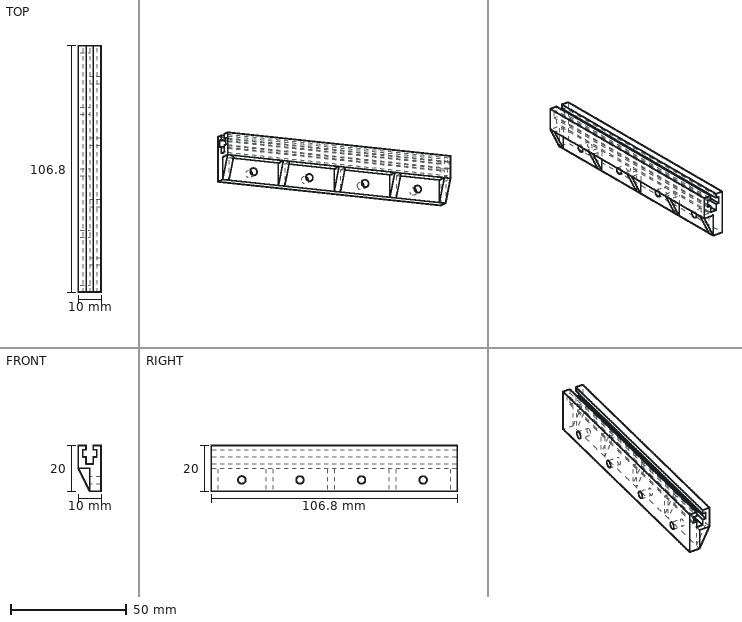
import cadquery as cq

rail_length = 106.75
bar_width = 10.0
bar_height = 10.0
plate_thickness = 5.0
plate_height = 10.0

slot_width = 3.0
slot_depth = 8.0
slot_head_width = 6.0
slot_head_top_depth = 2.0
slot_head_height = 3.0

bay_count = 4
bay_pitch = rail_length / bay_count
rib_thickness = 3.0
screw_hole_diameter = 3.2

bar_left = -bar_width / 2
bar_right = bar_width / 2
plate_left = bar_right - plate_thickness
bar_bottom = plate_height
bar_top = bar_bottom + bar_height

rib_starts = [rail_length - bay * bay_pitch - rib_thickness for bay in range(bay_count)]
rib_starts.append(0.0)


def box_between(x_range, y_range, z_range):
    """Box filling the given ranges along X, Y and Z."""
    size = [high - low for low, high in (x_range, y_range, z_range)]
    return (
        cq.Workplane("XY")
        .box(*size, centered=False)
        .translate((x_range[0], y_range[0], z_range[0]))
    )


def slot_cutter():
    """Narrow slot with a wider head that runs the full length of the bar."""
    along_rail = (0, rail_length)
    head_top = bar_top - slot_head_top_depth
    neck = box_between((-slot_width / 2, slot_width / 2), along_rail, (bar_top - slot_depth, bar_top))
    head = box_between(
        (-slot_head_width / 2, slot_head_width / 2),
        along_rail,
        (head_top - slot_head_height, head_top),
    )
    return neck.union(head)


def screw_holes():
    """One hole through the plate, midway between each pair of neighbouring ribs."""
    holes = cq.Workplane("YZ", origin=(plate_left, 0, 0))
    centres = [
        ((upper + lower + rib_thickness) / 2, plate_height / 2)
        for upper, lower in zip(rib_starts, rib_starts[1:])
    ]
    return holes.pushPoints(centres).circle(screw_hole_diameter / 2).extrude(plate_thickness)


def make_rail():
    """Slotted bar and drilled plate as one solid."""
    along_rail = (0, rail_length)
    bar = box_between((bar_left, bar_right), along_rail, (bar_bottom, bar_top))
    plate = box_between((plate_left, bar_right), along_rail, (0, plate_height))
    return bar.union(plate).cut(slot_cutter()).cut(screw_holes())


def make_rib(start):
    """Triangular rib in the corner below the bar, reaching from start towards +Y."""
    return (
        cq.Workplane("XZ", origin=(0, start, 0))
        .moveTo(plate_left, 0)
        .lineTo(plate_left, bar_bottom)
        .lineTo(bar_left, bar_bottom)
        .close()
        .extrude(-rib_thickness)
    )


rail = make_rail()
ribs = [make_rib(start) for start in rib_starts]

result = cq.Compound.makeCompound([rail.val(), *[rib.val() for rib in ribs]])